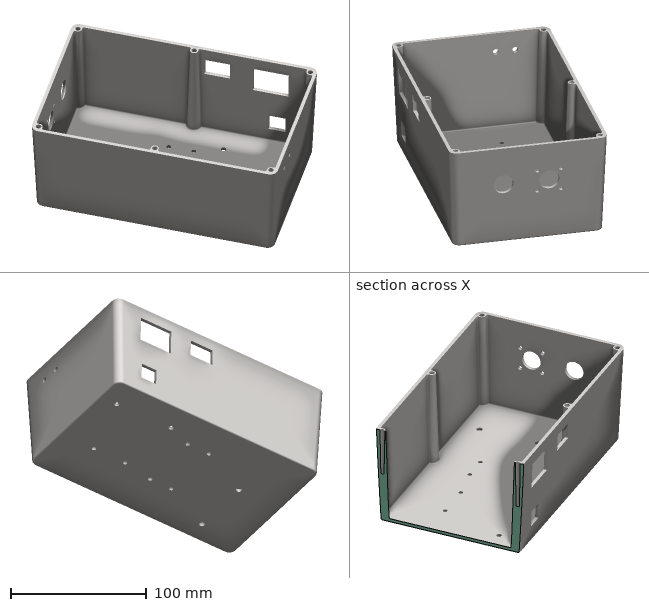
import cadquery as cq
import math

LENGTH = 188.0
WIDTH = 120.0
HEIGHT = 78.0
WALL_INSET = 3.0
CORNER_RADIUS = 5.8
BASE_EDGE_RADIUS = 1.1
WALL = 2.6
FLOOR = 2.6
INNER_FILLET = 1.1
DRAFT = math.degrees(math.atan(WALL_INSET / HEIGHT))

POST_X = 89.0
POST_Y = 54.9
POST_RADIUS = 3.0
POST_DRAFT = 1.9
POST_OVERLAP = 18.8
SCREW_TOP_DIAMETER = 4.0
SCREW_TIP_DIAMETER = 2.6
SCREW_DEPTH = 37.6

FLOOR_HOLES = [
    (4.5, [(-53.4, 6.8), (-53.4, -40.6)]),
    (3.4, [(x, y) for x in (-11.8, 7.1) for y in (27.5, -20.9)]),
    (3.4, [(32.9, -16.4), (61.0, -16.4)]),
    (4.0, [(27.8, 35.5), (76.0, 34.4)]),
]

PORT_DIAMETER = 15.0
PORT_Z = 48.0
PLAIN_PORT_Y = 19.4
FLANGED_PORT_Y = -15.5
FLANGE_HOLE_DIAMETER = 3.2
FLANGE_PITCH_Y = 18.0
FLANGE_PITCH_Z = 17.0

END_HOLE_DIAMETER = 4.3
END_HOLE_Z = 63.0
END_HOLE_Y = (-19.2, -33.8)

WINDOWS = [
    (7.3, 54.9, 19.5, 13.5),
    (44.5, 48.0, 27.3, 20.5),
    (56.8, 13.0, 13.2, 13.0),
]

SIDES = (-1, 1)
CUT_DEPTH = 11.3
EDGE_MARGIN = 1.9
TOLERANCE = 0.002


def drafted_box(length, width, depth):
    """Box hanging from the rim plane, narrowing downward at the wall draft."""
    return (
        cq.Workplane("XY", origin=(0, 0, HEIGHT))
        .rect(length, width)
        .extrude(-depth, taper=DRAFT)
    )


def outer_body():
    """Solid block with rounded upright corners and a softened base edge."""
    body = drafted_box(LENGTH, WIDTH, HEIGHT)
    body = upright_edges(body).fillet(CORNER_RADIUS)
    return body.faces("<Z").edges().fillet(BASE_EDGE_RADIUS)


def drafted_post(profile):
    """Run a rim-level profile down to the base, widening on the way."""
    return profile.extrude(-HEIGHT, taper=-POST_DRAFT)


def corner_post(x_side, y_side):
    """Square column with a round inner corner centred on the screw."""
    size = 2 * POST_RADIUS + POST_OVERLAP
    x = x_side * (POST_X + POST_OVERLAP / 2)
    y = y_side * (POST_Y + POST_OVERLAP / 2)
    profile = (
        cq.Workplane("XY", origin=(x, y, HEIGHT))
        .sketch()
        .rect(size, size)
        .vertices()
        .fillet(POST_RADIUS)
        .finalize()
    )
    return drafted_post(profile)


def middle_post(y_side):
    """Round-nosed column midway along a long wall."""
    y = y_side * (POST_Y + POST_OVERLAP / 2)
    profile = cq.Workplane("XY", origin=(0, y, HEIGHT)).slot2D(
        2 * POST_RADIUS + POST_OVERLAP, 2 * POST_RADIUS, 90
    )
    return drafted_post(profile)


def meets_wall(edge):
    """True for an edge running down the cavity where a post side meets a wall."""
    top = max(edge.startPoint(), edge.endPoint(), key=lambda point: point.z)
    on_end_wall = math.isclose(abs(top.x), LENGTH / 2 - WALL, abs_tol=TOLERANCE)
    on_long_wall = math.isclose(abs(top.y), WIDTH / 2 - WALL, abs_tol=TOLERANCE)
    return on_end_wall or on_long_wall


def upright_edges(solid):
    """Edges whose middle lies clear of both the rim and the floor."""
    low = (-LENGTH, -WIDTH, FLOOR + EDGE_MARGIN)
    high = (LENGTH, WIDTH, HEIGHT - EDGE_MARGIN)
    return solid.edges(cq.selectors.BoxSelector(low, high))


def cavity():
    """Inside space: the wall-to-wall hollow less the posts, with rounded inner edges."""
    space = drafted_box(LENGTH - 2 * WALL, WIDTH - 2 * WALL, HEIGHT - FLOOR)
    for y_side in SIDES:
        space = space.cut(middle_post(y_side))
        for x_side in SIDES:
            space = space.cut(corner_post(x_side, y_side))
    joints = [edge for edge in upright_edges(space).vals() if meets_wall(edge)]
    floor_edges = space.faces("<Z").edges().vals()
    return space.newObject(joints + floor_edges).fillet(INNER_FILLET)


def screw_hole(x, y):
    """Slightly tapered blind hole down the middle of a post."""
    return cq.Workplane(
        cq.Solid.makeCone(
            SCREW_TOP_DIAMETER / 2,
            SCREW_TIP_DIAMETER / 2,
            SCREW_DEPTH,
            pnt=cq.Vector(x, y, HEIGHT),
            dir=cq.Vector(0, 0, -1),
        )
    )


def floor_holes(diameter, centres):
    """Holes straight through the floor, at (x, y) centres."""
    return cq.Workplane("XY").pushPoints(centres).circle(diameter / 2).extrude(CUT_DEPTH)


def end_wall_holes(x_side, diameter, centres):
    """Holes along X through one end wall, at (y, z) centres."""
    wall_x = x_side * LENGTH / 2
    return (
        cq.Workplane("YZ", origin=(wall_x, 0, 0))
        .pushPoints(centres)
        .circle(diameter / 2)
        .extrude(CUT_DEPTH, both=True)
    )


def window(left, bottom, width, height):
    """Rectangular opening straight through the +Y wall."""
    opening = cq.Workplane("XY").box(width, 2 * CUT_DEPTH, height, centered=(False, True, False))
    return opening.translate((left, WIDTH / 2, bottom))


result = outer_body().cut(cavity())

for x in (-POST_X, 0, POST_X):
    for y in (-POST_Y, POST_Y):
        result = result.cut(screw_hole(x, y))

for diameter, centres in FLOOR_HOLES:
    result = result.cut(floor_holes(diameter, centres))

ports = [(PLAIN_PORT_Y, PORT_Z), (FLANGED_PORT_Y, PORT_Z)]
flange_holes = [
    (FLANGED_PORT_Y + y_side * FLANGE_PITCH_Y / 2, PORT_Z + z_side * FLANGE_PITCH_Z / 2)
    for y_side in SIDES
    for z_side in SIDES
]
end_holes = [(y, END_HOLE_Z) for y in END_HOLE_Y]
result = result.cut(end_wall_holes(-1, PORT_DIAMETER, ports))
result = result.cut(end_wall_holes(-1, FLANGE_HOLE_DIAMETER, flange_holes))
result = result.cut(end_wall_holes(1, END_HOLE_DIAMETER, end_holes))

for left, bottom, width, height in WINDOWS:
    result = result.cut(window(left, bottom, width, height))